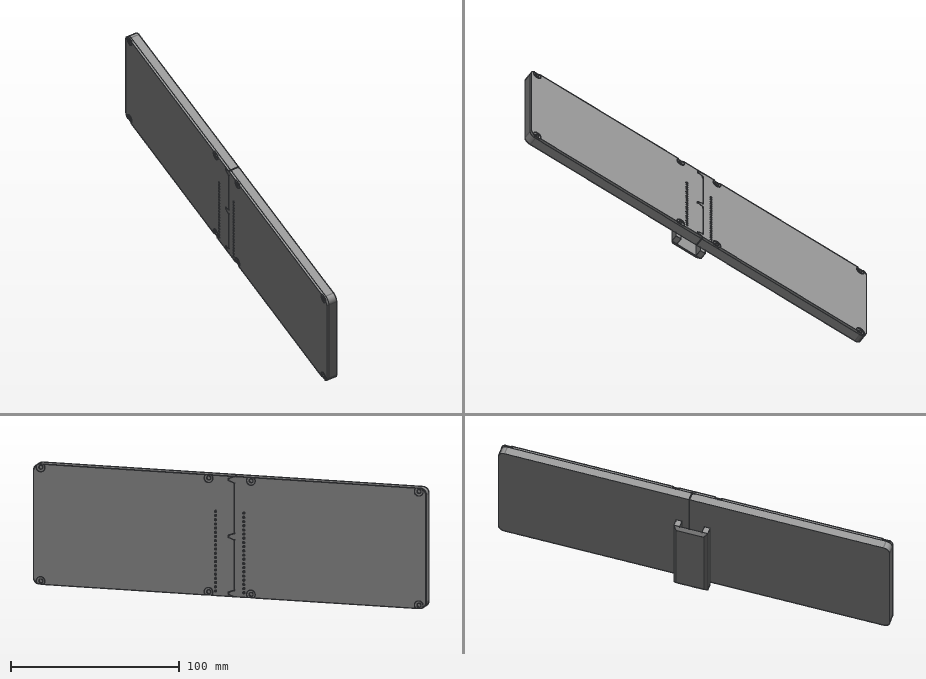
import cadquery as cq

LENGTH = 243.3
HEIGHT = 72.7
OVERALL_DEPTH = 14.8
COVER_THICKNESS = 1.5
BASE_THICKNESS = 5.4
CORNER_RADIUS = 4.0

SEAM_X = 3.0
SEAM_GAP = 0.5

TAB_LENGTH = 3.6
TAB_ROOT_WIDTH = 4.0
TAB_TIP_WIDTH = 1.2

SCREW_X_OUTER = 117.3
SCREW_X_INNER = 13.1
SCREW_EDGE_DISTANCE = 2.0
SCREW_DIAMETER = 2.5
HEAD_DIAMETER = 5.4
HEAD_DEPTH = 0.5

PIN_COUNT = 20
PIN_SPAN = 48.2
PIN_DIAMETER = 1.2
PIN_COLUMN_X = 8.8
PIN_CENTER_Z = -9.5

BRACKET_DEPTH = 6.3
BRACKET_HEIGHT = 53.0
BRACKET_LEG_WIDTH = 3.6
BRACKET_CHAMFER = 2.0

HALF_LENGTH = LENGTH / 2
HALF_HEIGHT = HEIGHT / 2
PIN_PITCH = PIN_SPAN / (PIN_COUNT - 1)
FRONT_Y = -OVERALL_DEPTH / 2
BASE_FRONT_Y = FRONT_Y + COVER_THICKNESS
BRACKET_FRONT_Y = FRONT_Y + OVERALL_DEPTH - BRACKET_DEPTH
BRACKET_CENTER_Z = -HALF_HEIGHT + BRACKET_HEIGHT / 2
LEFT_SEAM_X = SEAM_X - SEAM_GAP / 2
RIGHT_SEAM_X = SEAM_X + SEAM_GAP / 2
SCREW_Z = HALF_HEIGHT - SCREW_EDGE_DISTANCE
TAB_Z = HALF_HEIGHT - TAB_ROOT_WIDTH / 2


def plane_at(y):
    """XZ workplane at the given Y; its normal is -Y, so a negative extrusion runs toward +Y."""
    return cq.Workplane("XZ", origin=(0, y, 0))


def make_plate(x_min, x_max, front_y, thickness, rounded_side):
    """Full-height plate with the two corners on its outer side rounded."""
    outline = plane_at(front_y).center((x_min + x_max) / 2, 0).rect(x_max - x_min, HEIGHT)
    plate = outline.extrude(-thickness)
    return plate.edges("|Y").edges(rounded_side).fillet(CORNER_RADIUS)


def make_tabs(root_x):
    """Three tapered tabs that reach toward -X from the given X."""
    tip_x = root_x - TAB_LENGTH
    outline_points = [
        (root_x, TAB_ROOT_WIDTH / 2),
        (tip_x, TAB_TIP_WIDTH / 2),
        (tip_x, -TAB_TIP_WIDTH / 2),
        (root_x, -TAB_ROOT_WIDTH / 2),
    ]
    tab = plane_at(FRONT_Y).polyline(outline_points).close().extrude(-COVER_THICKNESS)
    return [tab.translate((0, 0, z)) for z in (-TAB_Z, 0, TAB_Z)]


def front_holes(points, diameter, depth):
    """Round cutters that reach from the front face to the given depth."""
    return plane_at(FRONT_Y).pushPoints(points).circle(diameter / 2).extrude(-depth)


def cut_screw_holes(cover, side):
    """Cut the four counterbored holes; side is -1 for the left cover and 1 for the right."""
    points = [(side * x, z) for x in (SCREW_X_INNER, SCREW_X_OUTER) for z in (-SCREW_Z, SCREW_Z)]
    cover = cover.cut(front_holes(points, SCREW_DIAMETER, COVER_THICKNESS))
    return cover.cut(front_holes(points, HEAD_DIAMETER, HEAD_DEPTH))


def cut_pin_holes(cover, side):
    """Cut the column of pin holes; side is -1 for the left cover and 1 for the right."""
    lowest_z = PIN_CENTER_Z - PIN_SPAN / 2
    points = [(side * PIN_COLUMN_X, lowest_z + i * PIN_PITCH) for i in range(PIN_COUNT)]
    return cover.cut(front_holes(points, PIN_DIAMETER, COVER_THICKNESS))


def make_left_cover():
    """Cover plate with notches that leave the seam gap around the tabs."""
    cover = make_plate(-HALF_LENGTH, LEFT_SEAM_X, FRONT_Y, COVER_THICKNESS, "<X")
    for notch in make_tabs(LEFT_SEAM_X):
        cover = cover.cut(notch)
    return cut_pin_holes(cut_screw_holes(cover, -1), -1)


def make_right_cover():
    """Cover plate with tabs along the seam."""
    cover = make_plate(RIGHT_SEAM_X, HALF_LENGTH, FRONT_Y, COVER_THICKNESS, ">X")
    for tab in make_tabs(RIGHT_SEAM_X):
        cover = cover.union(tab)
    return cut_pin_holes(cut_screw_holes(cover, 1), 1)


def make_left_base():
    return make_plate(-HALF_LENGTH, LEFT_SEAM_X, BASE_FRONT_Y, BASE_THICKNESS, "<X")


def make_right_base():
    return make_plate(RIGHT_SEAM_X, HALF_LENGTH, BASE_FRONT_Y, BASE_THICKNESS, ">X")


def make_bracket():
    """Channel open toward the bases, with the edges of its back face chamfered."""
    outer_width = 2 * PIN_COLUMN_X + BRACKET_LEG_WIDTH
    opening_width = 2 * PIN_COLUMN_X - BRACKET_LEG_WIDTH
    leg_depth = BRACKET_DEPTH - BRACKET_CHAMFER
    front = plane_at(BRACKET_FRONT_Y).center(0, BRACKET_CENTER_Z)
    block = front.rect(outer_width, BRACKET_HEIGHT).extrude(-BRACKET_DEPTH)
    block = block.faces(">Y").edges().chamfer(BRACKET_CHAMFER)
    opening = front.rect(opening_width, BRACKET_HEIGHT).extrude(-leg_depth)
    return block.cut(opening)


left_cover = make_left_cover()
right_cover = make_right_cover()
left_base = make_left_base()
right_base = make_right_base()
bracket = make_bracket()

bodies = [left_cover, right_cover, left_base, right_base, bracket]
result = cq.Compound.makeCompound([body.solids().val() for body in bodies])